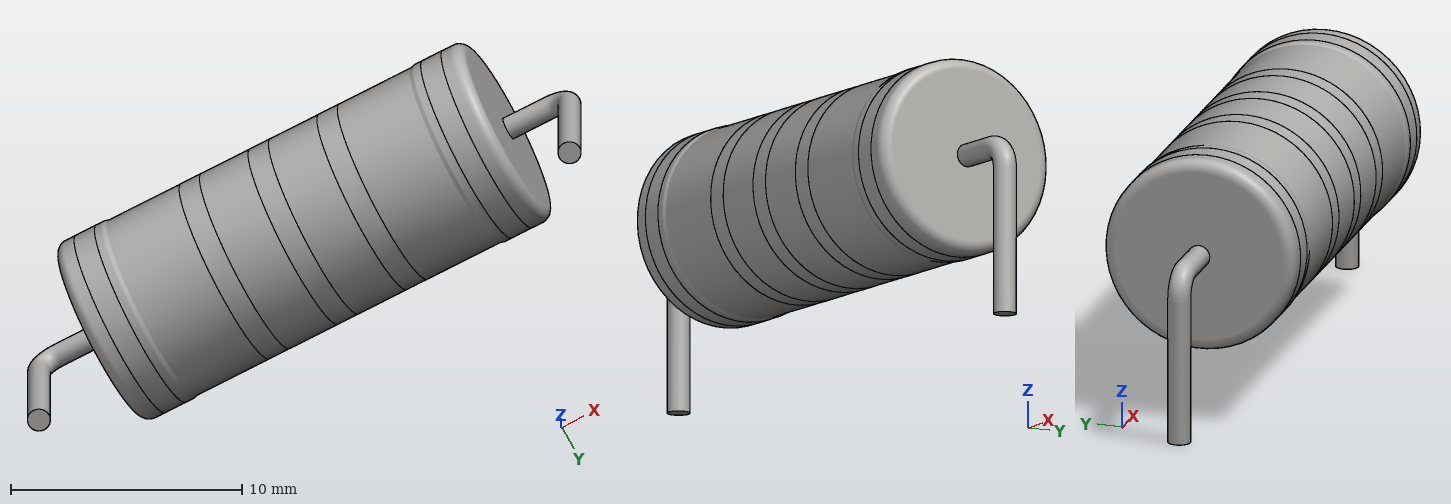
import cadquery as cq

overall_length = 27.0
body_length = 19.98
cap_diameter = 8.6
waist_diameter = 8.5
cap_length = 2.56
cap_shoulder_length = 0.2

lead_diameter = 1.0
lead_bend_radius = 1.0
overall_height = 11.8

band_width = 1.0
band_depth = 0.1
waist_band_offset = 3.38

cap_outer_fillet = band_width / 2
cap_band_margin = band_width / 2

half_body = body_length / 2
cap_radius = cap_diameter / 2
waist_radius = waist_diameter / 2
cap_band_offset = half_body - cap_outer_fillet - cap_band_margin - band_width / 2
lead_radius = lead_diameter / 2
lead_x = overall_length / 2 - lead_radius
lead_bottom_z = cap_radius - overall_height

BANDS = [
    (-cap_band_offset, cap_radius),
    (-waist_band_offset, waist_radius),
    (0, waist_radius),
    (waist_band_offset, waist_radius),
    (cap_band_offset, cap_radius),
]


def make_barrel():
    """Barrel with a raised, rounded cap at each end and a slimmer waist."""
    cap_inner_x = half_body - cap_length
    shoulder_x = cap_inner_x + cap_shoulder_length
    profile = (
        cq.Workplane("XZ")
        .moveTo(-half_body, 0)
        .lineTo(-half_body, cap_radius)
        .lineTo(-shoulder_x, cap_radius)
        .lineTo(-cap_inner_x, waist_radius)
        .lineTo(cap_inner_x, waist_radius)
        .lineTo(shoulder_x, cap_radius)
        .lineTo(half_body, cap_radius)
        .lineTo(half_body, 0)
        .close()
    )
    barrel = profile.revolve(360, (0, 0, 0), (1, 0, 0))
    return barrel.faces("<X or >X").edges().fillet(cap_outer_fillet)


def make_lead(side):
    """Round wire from an end face (side is -1 or 1), bent down to its tip."""
    start_x = side * half_body
    bend_start_x = side * (lead_x - lead_bend_radius)
    path = (
        cq.Workplane("XZ")
        .moveTo(start_x, 0)
        .lineTo(bend_start_x, 0)
        .tangentArcPoint((side * lead_x, -lead_bend_radius), relative=False)
        .lineTo(side * lead_x, lead_bottom_z)
    )
    return cq.Workplane("YZ", origin=(start_x, 0, 0)).circle(lead_radius).sweep(path)


def make_band(center_x, outer_radius):
    """Thin ring let into the barrel surface."""
    return (
        cq.Workplane("YZ", origin=(center_x - band_width / 2, 0, 0))
        .circle(outer_radius)
        .circle(outer_radius - band_depth)
        .extrude(band_width)
    )


def make_resistor(bands):
    """Barrel and its two leads, with a groove for every band."""
    resistor = make_barrel()
    for side in (-1, 1):
        resistor = resistor.union(make_lead(side))
    for band in bands:
        resistor = resistor.cut(band)
    return resistor.solids()


color_bands = [make_band(center_x, outer_radius) for center_x, outer_radius in BANDS]
resistor_body = make_resistor(color_bands)

result = cq.Compound.makeCompound([resistor_body.val(), *[band.val() for band in color_bands]])